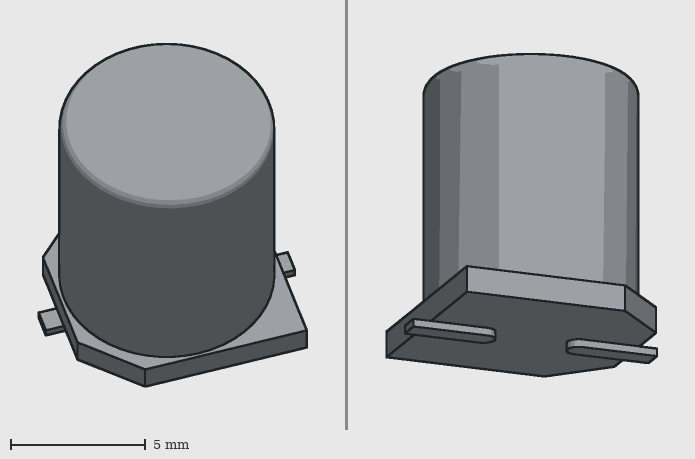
import cadquery as cq


TOTAL_HEIGHT = 10.2
BASE_SIDE = 8.3
BASE_THICKNESS = 1.0
BASE_CORNER_CUT = 2.0
CAN_DIAMETER = 8.0
CAN_TOP_RADIUS = 0.5
LEAD_SPAN = 9.7
LEAD_GAP = 2.9
LEAD_WIDTH = 0.9
LEAD_THICKNESS = 0.3

BASE_TOP = LEAD_THICKNESS + BASE_THICKNESS
CAN_HEIGHT = TOTAL_HEIGHT - BASE_TOP


def make_base():
    """Square plate with its two -Y corners cut at 45 degrees."""
    plate = (
        cq.Workplane("XY")
        .workplane(offset=LEAD_THICKNESS)
        .rect(BASE_SIDE, BASE_SIDE)
        .extrude(BASE_THICKNESS)
    )
    return plate.faces("<Y").edges("|Z").chamfer(BASE_CORNER_CUT)


def make_can():
    """Cylindrical can standing on the base, rounded at the top rim."""
    can = (
        cq.Workplane("XY")
        .workplane(offset=BASE_TOP)
        .circle(CAN_DIAMETER / 2)
        .extrude(CAN_HEIGHT)
    )
    return can.faces(">Z").edges().fillet(CAN_TOP_RADIUS)


def make_lead(side):
    """Flat lead on the +Y (side = 1) or -Y (side = -1) half, with a full-round inner end."""
    half_width = LEAD_WIDTH / 2
    outer_y = side * LEAD_SPAN / 2
    inner_y = side * LEAD_GAP / 2
    round_start_y = inner_y + side * half_width
    return (
        cq.Workplane("XY")
        .moveTo(-half_width, outer_y)
        .lineTo(-half_width, round_start_y)
        .threePointArc((0, inner_y), (half_width, round_start_y))
        .lineTo(half_width, outer_y)
        .close()
        .extrude(LEAD_THICKNESS)
    )


result = make_base().union(make_can())
for side in (-1, 1):
    result = result.union(make_lead(side))